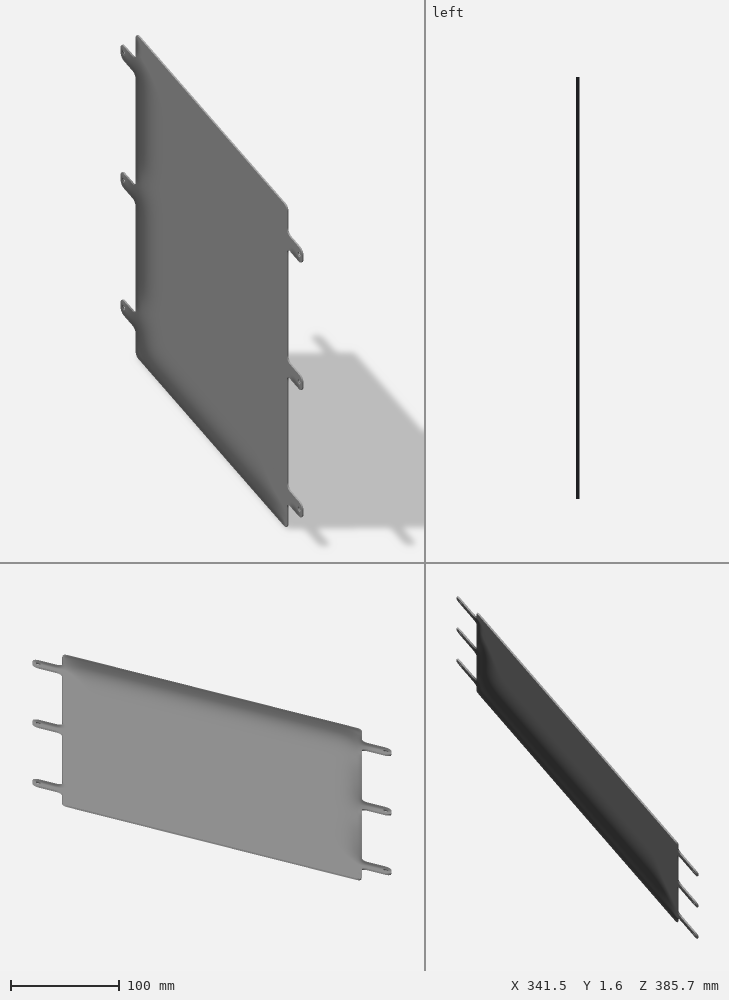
import cadquery as cq

height = 385.7
body_width = 284.5
thickness = 1.6
corner_radius = 5.0

overall_width = 341.5
tab_height = 17.5
tab_pitch = 152.5
tab_end_radius = 5.8
tab_root_radius = 5.8

hole_diameter = 5.0
hole_edge_distance = 5.5

tab_levels = [-tab_pitch, 0, tab_pitch]
hole_x = overall_width / 2 - hole_edge_distance


def upright_block(width, block_height, level=0):
    """Plate-thick block centred on X and Y, at the given Z level."""
    return cq.Workplane("XY").box(width, thickness, block_height).translate((0, 0, level))


def edges_along_y(block_width, block_height, level=0):
    """Selector for the Y-direction corner edges at both ends of a block."""
    margin = 0.5
    boxes = []
    for x in (-block_width / 2, block_width / 2):
        for z in (level - block_height / 2, level + block_height / 2):
            boxes.append(
                cq.selectors.BoxSelector(
                    (x - margin, -thickness, z - margin),
                    (x + margin, thickness, z + margin),
                )
            )
    selector = boxes[0]
    for box in boxes[1:]:
        selector = selector + box
    return selector


plate = upright_block(body_width, height).edges("|Y").fillet(corner_radius)

for level in tab_levels:
    strip = upright_block(overall_width, tab_height, level)
    plate = plate.union(strip.edges("|Y").fillet(tab_end_radius))

for level in tab_levels:
    roots = edges_along_y(body_width, tab_height, level)
    plate = plate.edges("|Y").edges(roots).fillet(tab_root_radius)

hole_centres = [(x, z) for x in (-hole_x, hole_x) for z in tab_levels]
holes = (
    cq.Workplane("XZ")
    .pushPoints(hole_centres)
    .circle(hole_diameter / 2)
    .extrude(thickness, both=True)
)
result = plate.cut(holes)